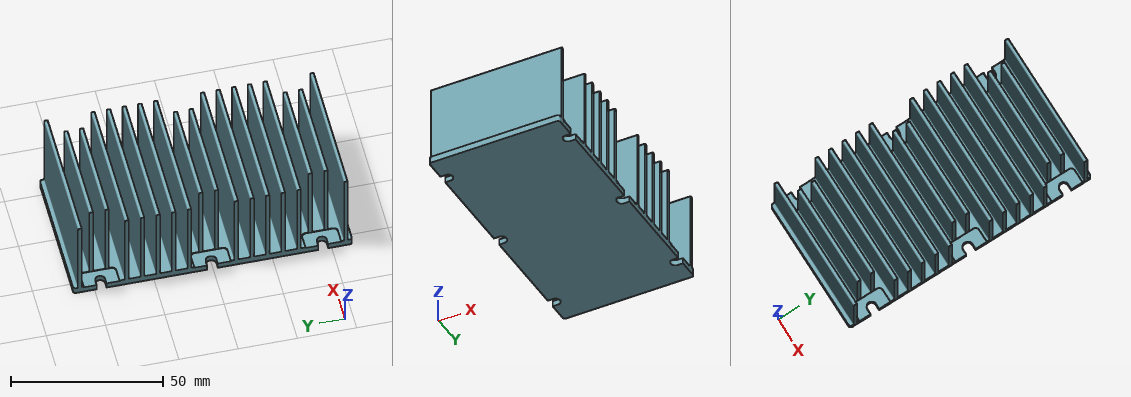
import cadquery as cq

length = 94.1
width = 48.6
height = 31.8

base_thickness = 2.45
base_corner_radius = 0.9

fin_count = 18
fin_thickness = 1.3
fin_tip_radius = 0.6
fin_root_radius = 0.4
end_fin_margin = 2.2
fin_pitch = (length - 2 * end_fin_margin) / (fin_count - 1)

slot_width = 3.3
slot_depth = 3.7
slot_pair_pitch = 37.3
middle_slot_shift = 0.3
slot_rows = (
    -slot_pair_pitch,
    0,
    middle_slot_shift,
    middle_slot_shift + slot_pair_pitch,
)

pad_length = 12.05
pad_depth = 6.1
pad_corner_radius = 1.4
pad_recess = 0.3


def make_base():
    plate = cq.Workplane("XY").box(width, length, base_thickness, centered=(True, True, False))
    return plate.edges("|Z").fillet(base_corner_radius)


def make_fin(y_center):
    """Fin with rounded tip edges and concave fillets at its root."""
    half = fin_thickness / 2
    half_tip = half - fin_tip_radius
    half_root = half + fin_root_radius
    root_top = base_thickness + fin_root_radius
    shoulder = height - fin_tip_radius
    outline = (
        cq.Workplane("YZ", origin=(-width / 2, y_center, 0))
        .moveTo(-half_root, 0)
        .lineTo(-half_root, base_thickness)
        .radiusArc((-half, root_top), -fin_root_radius)
        .lineTo(-half, shoulder)
        .radiusArc((-half_tip, height), fin_tip_radius)
        .lineTo(half_tip, height)
        .radiusArc((half, shoulder), fin_tip_radius)
        .lineTo(half, root_top)
        .radiusArc((half_root, base_thickness), -fin_root_radius)
        .lineTo(half_root, 0)
        .close()
    )
    return outline.extrude(width)


def make_side_notch(side, y_center):
    """Cutter for one slot and the pad around it; side is -1 or +1 along X."""
    edge_x = side * width / 2
    pad_floor = base_thickness - pad_recess
    pad = (
        cq.Workplane("XY", origin=(edge_x, y_center, pad_floor))
        .rect(2 * pad_depth, pad_length)
        .extrude(height)
        .edges("|Z")
        .fillet(pad_corner_radius)
    )
    slot = (
        cq.Workplane("XY", origin=(edge_x, y_center, 0))
        .slot2D(2 * slot_depth, slot_width)
        .extrude(height)
    )
    return pad.union(slot)


result = make_base()

for index in range(fin_count):
    fin_y = (index - (fin_count - 1) / 2) * fin_pitch
    result = result.union(make_fin(fin_y))

for slot_y in slot_rows:
    for side in (-1, 1):
        result = result.cut(make_side_notch(side, slot_y))